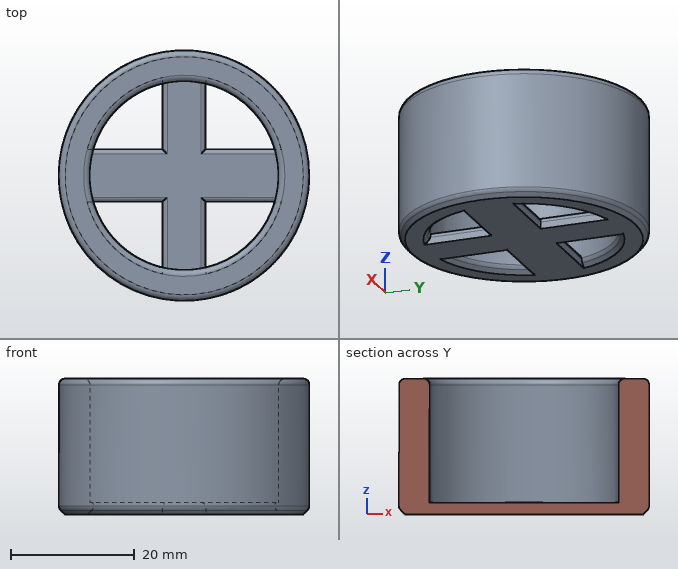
import cadquery as cq

outer_diameter = 40.5
bore_diameter = 30.5
height = 22.0
rim_round = 1.0
base_chamfer = 1.0
base_round = 1.0
bar_thickness = 2.0
x_bar_width = 8.55
y_bar_width = 7.0
bar_round = 0.75

bar_end_diameter = (outer_diameter + bore_diameter) / 2


def make_ring():
    """Tube with a rounded top rim and bevelled, blended bottom edges."""
    ring = cq.Workplane("XY").circle(outer_diameter / 2).circle(bore_diameter / 2).extrude(height)
    ring = ring.faces(">Z").edges().fillet(rim_round)
    ring = ring.faces("<Z").edges().chamfer(base_chamfer)

    return ring.faces("%CYLINDER").edges("<Z").fillet(base_round)


def make_bar(length_x, length_y, long_edges):
    """Flat bar on the base plane with its long upper edges rounded."""
    bar = cq.Workplane("XY").box(length_x, length_y, bar_thickness, centered=(True, True, False))
    return bar.faces(">Z").edges(long_edges).fillet(bar_round)


def make_cross():
    """Two crossing bars trimmed to a circle inside the ring wall."""
    x_bar = make_bar(outer_diameter, x_bar_width, "|X")
    y_bar = make_bar(y_bar_width, outer_diameter, "|Y")
    trim = cq.Workplane("XY").circle(bar_end_diameter / 2).extrude(bar_thickness)
    return x_bar.union(y_bar).intersect(trim)


result = make_ring().union(make_cross())